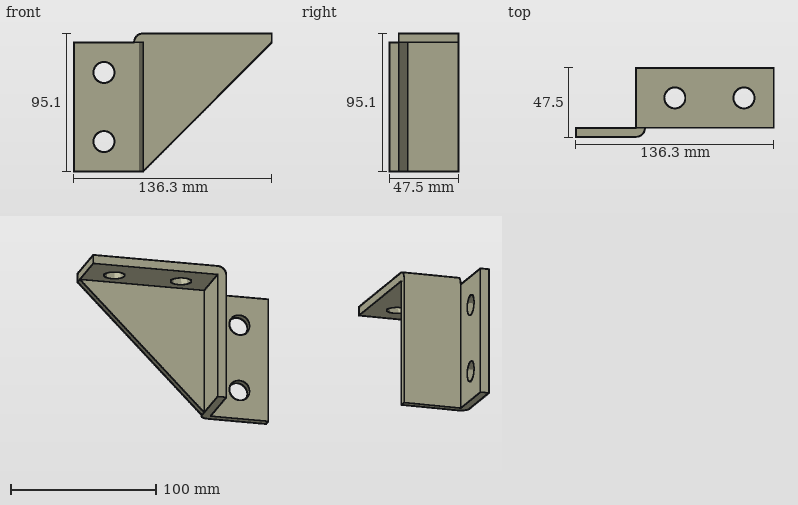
import cadquery as cq
import math

length = 136.3
depth = 47.5
height = 95.1

thickness = 6.3
bend_radius = thickness
bend_mid = bend_radius * math.sin(math.radians(45))
plate_width = depth - thickness
inner_height = height - thickness
web_left = plate_width
web_right = web_left + thickness

hole_diameter = 14.3
hole_spacing = 47.5
edge_distance = plate_width / 2


def front_flange():
    """Upright mounting plate with its right front edge rounded by the bend."""
    plate = (
        cq.Workplane("XY")
        .lineTo(web_left, 0)
        .threePointArc((web_left + bend_mid, thickness - bend_mid), (web_right, thickness))
        .lineTo(0, thickness)
        .close()
        .extrude(inner_height)
    )
    holes = (
        cq.Workplane("XZ")
        .pushPoints([(edge_distance, edge_distance + i * hole_spacing) for i in range(2)])
        .circle(hole_diameter / 2)
        .extrude(-thickness)
    )
    return plate.cut(holes)


def top_plate():
    """Horizontal mounting plate with its upper left edge rounded by the bend."""
    plate = (
        cq.Workplane("XZ", origin=(0, thickness, 0))
        .moveTo(web_left, inner_height)
        .threePointArc((web_right - bend_mid, inner_height + bend_mid), (web_right, height))
        .lineTo(length, height)
        .lineTo(length, inner_height)
        .close()
        .extrude(-plate_width)
    )
    hole_y = thickness + plate_width / 2
    holes = (
        cq.Workplane("XY", origin=(0, 0, inner_height))
        .pushPoints([(length - edge_distance - i * hole_spacing, hole_y) for i in range(2)])
        .circle(hole_diameter / 2)
        .extrude(thickness)
    )
    return plate.cut(holes)


def web():
    """Upright wall joining the flange and the top plate."""
    wall = cq.Workplane("XY").box(thickness, plate_width, inner_height, centered=False)
    return wall.translate((web_left, thickness, 0))


def gusset():
    """Triangular brace flush with the front edge of the top plate."""
    return (
        cq.Workplane("XZ", origin=(0, thickness, 0))
        .moveTo(web_right, 0)
        .lineTo(length, inner_height)
        .lineTo(web_right, inner_height)
        .close()
        .extrude(-thickness)
    )


result = web().union(front_flange()).union(top_plate()).union(gusset())